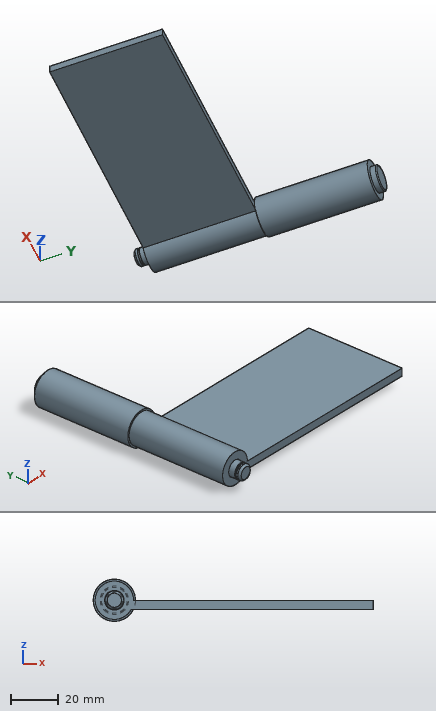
import cadquery as cq

barrel_length = 52.0
upper_barrel_diameter = 18.0
leaf_barrel_diameter = 16.3

leaf_reach = 110.0
leaf_thickness = 4.0

pin_diameter = 8.0
bore_diameter = 8.3
pin_overhang = 6.0
pin_tip_chamfer = 1.0
groove_diameter = 7.0
groove_width = 0.8
groove_offset = 3.2

head_diameter = 12.0
head_height = 3.0
head_chamfer = 0.5

pin_tip_y = -barrel_length - pin_overhang
head_top_y = barrel_length + head_height


def cylinder_along_y(diameter, start_y, end_y):
    """Solid cylinder on the hinge axis between two Y positions."""
    return (
        cq.Workplane("XZ", origin=(0, start_y, 0))
        .circle(diameter / 2)
        .extrude(start_y - end_y)
    )


def make_upper_barrel():
    """Plain sleeve that carries the pin head on its +Y end."""
    bore = cylinder_along_y(bore_diameter, 0, barrel_length)
    return cylinder_along_y(upper_barrel_diameter, 0, barrel_length).cut(bore)


def make_leaf():
    """Flat leaf and its barrel; the top face of the leaf lies on the axis plane."""
    barrel = cylinder_along_y(leaf_barrel_diameter, -barrel_length, 0)
    plate = cq.Workplane("XY").box(
        leaf_reach, barrel_length, leaf_thickness, centered=False
    ).translate((0, -barrel_length, -leaf_thickness))
    bore = cylinder_along_y(bore_diameter, -barrel_length, 0)
    return barrel.union(plate).cut(bore)


def make_pin():
    """Headed pin running with clearance through both barrels, with a retaining groove near its tip."""
    shank = cylinder_along_y(pin_diameter, pin_tip_y, barrel_length)
    shank = shank.faces("<Y").chamfer(pin_tip_chamfer)

    head = cylinder_along_y(head_diameter, barrel_length, head_top_y)
    head = head.faces(">Y").chamfer(head_chamfer)

    groove_start_y = -barrel_length - groove_offset
    groove_end_y = groove_start_y - groove_width
    groove_core = cylinder_along_y(groove_diameter, groove_end_y, groove_start_y)
    groove = cylinder_along_y(pin_diameter, groove_end_y, groove_start_y).cut(groove_core)

    return shank.union(head).cut(groove)


upper_barrel = make_upper_barrel()
leaf = make_leaf()
pin = make_pin()

result = cq.Compound.makeCompound([upper_barrel.val(), leaf.val(), pin.val()])